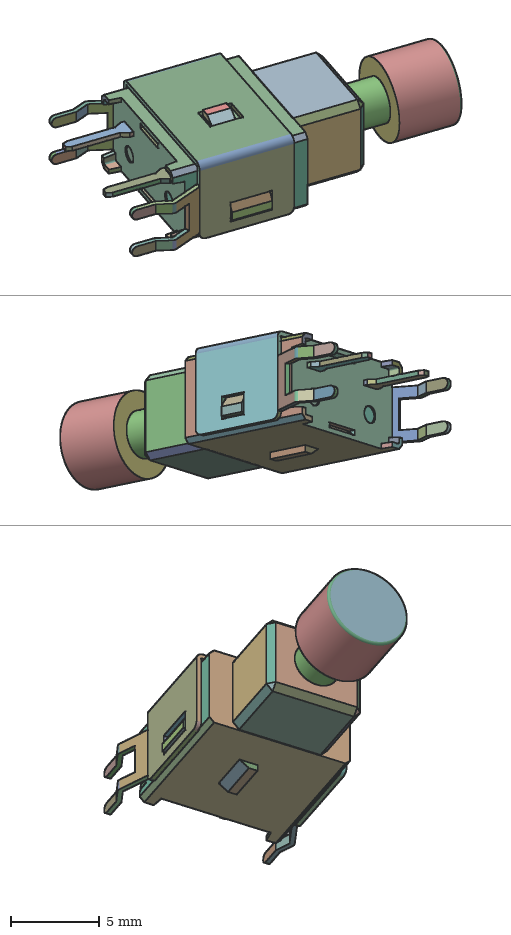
import cadquery as cq
import math


housing_width = 9.0
housing_height = 5.1
housing_rear = 7.8
housing_chamfer = 0.3
half_width = housing_width / 2
half_height = housing_height / 2

bushing_width = 6.0
bushing_height = 5.0
bushing_chamfer = 0.4
bushing_rear = 12.3
stem_diameter = 2.8
cap_front = 14.6
cap_length = 4.0
cap_diameter = 5.1
cap_fillet = 0.15

foot_length = 0.75
foot_wall = 0.3
foot_inner_fillet = 0.1
foot_draft = 0.1
foot_root_x = 3.5
foot_root_z = 1.75

mark_diameter = 1.0
mark_depth = 0.1
mark_x = 2.5
mark_z = -0.75
slot_width = 2.24
slot_height = 0.3
slot_depth = 0.4
slot_ramp_width = 2.04

bump_middle_y = 4.08
bump_height = 0.4
bump_flat = 0.55
bump_base = 1.15
short_bump = 1.5
long_bump = 2.55
top_bump_edge_x = 0.15
side_bump_edge_z = -1.55
top_window_width = 1.53
top_window_length = 2.1
side_window_top = -0.38
side_window_bottom = -1.7
side_window_clearance = 0.1

sheet = 0.3
frame_front = 0.8
frame_length = 6.0
frame_bottom = -2.35
frame_bend_radius = 0.42
frame_corner_radius = 0.4
frame_half_width = half_width + sheet
frame_top = half_height + sheet

row_pitch = 2.54
upper_row_z = 1.0
lower_row_z = upper_row_z - row_pitch
leg_width = 0.68
leg_lean = math.radians(23)
leg_kink_x = 5.625
leg_kink_y = -1.2
leg_kink_radius = 0.3
leg_spacing = 10.16
leg_tip_y = -3.7
strap_edge_y = -0.05

pin_spacing = 5.08
pin_thickness = 0.3
pin_width = 0.62
pin_head_width = 1.15
pin_head_end_y = -0.25
pin_neck_y = -0.7
pin_taper_y = -3.75
pin_tip_y = -4.1
pin_tip_width = 0.36


def block(x_range, y_range, z_range):
    """Axis-aligned box between the given limits."""
    size = [high - low for low, high in (x_range, y_range, z_range)]
    return cq.Workplane("XY").box(*size, centered=False).translate((x_range[0], y_range[0], z_range[0]))


def rod(diameter, front_y, rear_y):
    """Round bar on the Y axis."""
    return cq.Workplane("XZ", origin=(0, front_y, 0)).circle(diameter / 2).extrude(front_y - rear_y)


def bump_profile(edge, surface, direction):
    """Section of a snap bump: steep at its edge, then flat, then a ramp back to the surface."""
    crest = surface + direction * bump_height
    return [(edge, surface), (edge, crest), (edge + bump_flat, crest), (edge + bump_base, surface)]


def flat_bump(direction, length):
    """Snap bump on the top (+1) or bottom (-1) of the housing."""
    profile = bump_profile(top_bump_edge_x, direction * half_height, direction)
    plane = cq.Workplane("XZ", origin=(0, bump_middle_y, 0))
    return plane.polyline(profile).close().extrude(length / 2, both=True)


def side_bump(direction, length):
    """Snap bump on the right (+1) or left (-1) side of the housing."""
    profile = bump_profile(side_bump_edge_z, direction * half_width, direction)
    points = [(x, z) for z, x in profile]
    plane = cq.Workplane("XZ", origin=(0, bump_middle_y, 0))
    return plane.polyline(points).close().extrude(length / 2, both=True)


def corner_feet():
    """Four L-shaped feet: a rectangular collar notched on all four sides, with drafted notch walls."""
    feet = block((-half_width, half_width), (-foot_length, 0), (-half_height, half_height))
    feet = feet.edges("|Y").chamfer(housing_chamfer)
    inside_x = half_width - foot_wall
    inside_z = half_height - foot_wall
    opening = block((-inside_x, inside_x), (-foot_length, 0), (-inside_z, inside_z))
    feet = feet.cut(opening.edges("|Y").fillet(foot_inner_fillet))

    tip_x = foot_root_x + foot_draft
    tip_z = foot_root_z + foot_draft
    wide_notch = (
        cq.Workplane("XY")
        .polyline([(-foot_root_x, 0), (-tip_x, -foot_length), (tip_x, -foot_length), (foot_root_x, 0)])
        .close()
        .extrude(housing_height, both=True)
    )
    side_notch = (
        cq.Workplane("YZ")
        .polyline([(0, -foot_root_z), (-foot_length, -tip_z), (-foot_length, tip_z), (0, foot_root_z)])
        .close()
        .extrude(housing_width, both=True)
    )
    return feet.cut(wide_notch).cut(side_notch)


def face_slot(direction):
    """Slot in the terminal face, near its top (+1) or bottom (-1), less the ramp left standing inside it."""
    outer_z = direction * (half_height - foot_wall)
    inner_z = outer_z - direction * slot_height
    z_range = (min(outer_z, inner_z), max(outer_z, inner_z))
    slot = block((-slot_width / 2, slot_width / 2), (0, slot_depth), z_range)
    ramp = (
        cq.Workplane("YZ")
        .polyline([(0, outer_z), (slot_depth, outer_z), (slot_depth, inner_z)])
        .close()
        .extrude(slot_ramp_width / 2, both=True)
    )
    return slot.cut(ramp)


def make_housing():
    """Housing block with bushing, button and snap bumps."""
    body = block((-half_width, half_width), (0, housing_rear), (-half_height, half_height))
    body = body.edges("|Y").chamfer(housing_chamfer)

    bushing = block(
        (-bushing_width / 2, bushing_width / 2),
        (housing_rear, bushing_rear),
        (-bushing_height / 2, bushing_height / 2),
    )
    bushing = bushing.edges("|Y or >Y").chamfer(bushing_chamfer)
    stem = rod(stem_diameter, bushing_rear, cap_front)
    cap = rod(cap_diameter, cap_front, cap_front + cap_length).faces(">Y").edges().fillet(cap_fillet)
    body = body.union(bushing).union(stem).union(cap).union(corner_feet())

    body = body.union(flat_bump(1, short_bump)).union(flat_bump(-1, long_bump))
    body = body.union(side_bump(-1, short_bump)).union(side_bump(1, long_bump))

    for direction in (1, -1):
        body = body.cut(face_slot(direction))
    marks = (
        cq.Workplane("XZ")
        .pushPoints([(-mark_x, mark_z), (mark_x, mark_z)])
        .circle(mark_diameter / 2)
        .extrude(-mark_depth)
    )
    return body.cut(marks)


def frame_leg_pair():
    """Two joined legs on the +X side: a sloping strap forked into two bent legs with round tips."""
    slope = math.tan(leg_lean)
    slant_shift = sheet / math.cos(leg_lean)
    bend_shift = sheet * math.tan(leg_lean / 2)
    kink_corner_x = leg_kink_x + leg_kink_radius * (1 / math.cos(leg_lean) - 1)
    foot_outer_x = leg_spacing / 2 + sheet / 2
    top_y = leg_kink_y + (kink_corner_x - frame_half_width) / slope
    foot_y = leg_kink_y - (kink_corner_x - foot_outer_x) / slope
    outline = [
        (frame_half_width, frame_front),
        (frame_half_width, top_y),
        (kink_corner_x, leg_kink_y),
        (foot_outer_x, foot_y),
        (foot_outer_x, leg_tip_y),
        (foot_outer_x - sheet, leg_tip_y),
        (foot_outer_x - sheet, foot_y + bend_shift),
        (kink_corner_x - slant_shift, leg_kink_y),
        (half_width, top_y - bend_shift),
        (half_width, frame_front),
    ]
    low_z = lower_row_z - leg_width / 2
    high_z = upper_row_z + leg_width / 2
    bent = cq.Workplane("XY").polyline(outline).close().extrude(high_z - low_z)
    bent = bent.edges("|Z and >X").fillet(leg_kink_radius).translate((0, 0, low_z))

    strap_edge_x = frame_half_width + slope * (top_y - strap_edge_y)
    strap_end = [(x, strap_edge_y + slope * (x - strap_edge_x)) for x in (leg_kink_x, half_width)]
    strap = [(half_width, frame_front), (leg_kink_x, frame_front)] + strap_end
    fork = cq.Workplane("XY", origin=(0, 0, low_z)).polyline(strap).close().extrude(high_z - low_z)

    tip_radius = leg_width / 2
    for z in (upper_row_z, lower_row_z):
        tip_centre_y = leg_tip_y + tip_radius
        shank = block((half_width, leg_kink_x), (tip_centre_y, frame_front), (z - tip_radius, z + tip_radius))
        tip = cq.Workplane("YZ", origin=(half_width, tip_centre_y, z)).circle(tip_radius)
        fork = fork.union(shank).union(tip.extrude(leg_kink_x - half_width))
    return bent.intersect(fork)


def make_frame():
    """U-shaped sheet frame over the top and sides of the housing, with legs on both sides."""
    y_range = (frame_front, frame_front + frame_length)
    frame = block((-frame_half_width, frame_half_width), y_range, (frame_bottom, frame_top))
    frame = frame.edges("|Y and >Z").fillet(frame_bend_radius)
    frame = frame.edges("|X and <Z").fillet(frame_corner_radius)
    frame = frame.cut(block((-half_width, half_width), y_range, (frame_bottom, half_height)))

    def centred(length):
        return (bump_middle_y - length / 2, bump_middle_y + length / 2)

    window_x = (top_bump_edge_x, top_bump_edge_x + top_window_width)
    frame = frame.cut(block(window_x, centred(top_window_length), (half_height, frame_top)))
    window_z = (side_window_bottom, side_window_top)
    left = (-frame_half_width, -half_width)
    right = (half_width, frame_half_width)
    frame = frame.cut(block(left, centred(short_bump + side_window_clearance), window_z))
    frame = frame.cut(block(right, centred(long_bump + side_window_clearance), window_z))

    legs = frame_leg_pair()
    return frame.union(legs).union(legs.mirror("YZ"))


def make_pin(x):
    """Flat terminal pin with a wide head on the terminal face and a tapered tip."""
    right_edge = [
        (pin_head_width / 2, 0),
        (pin_head_width / 2, pin_head_end_y),
        (pin_width / 2, pin_neck_y),
        (pin_width / 2, pin_taper_y),
        (pin_tip_width / 2, pin_tip_y),
    ]
    left_edge = [(-offset, y) for offset, y in reversed(right_edge)]
    plane = cq.Workplane("XY", origin=(x, 0, upper_row_z))
    return plane.polyline(right_edge + left_edge).close().extrude(pin_thickness / 2, both=True)


housing = make_housing()
frame = make_frame()
pins = [make_pin(side * pin_spacing / 2) for side in (-1, 1)]

result = cq.Compound.makeCompound([body.solids().val() for body in (housing, frame, *pins)])